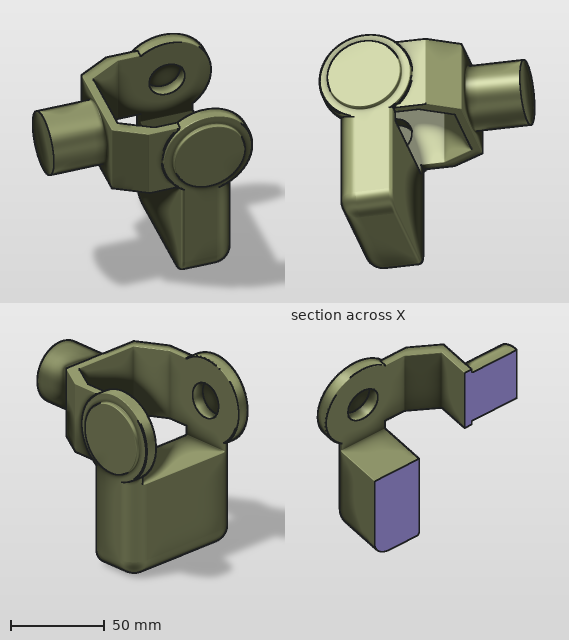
import cadquery as cq
import math

edge_fillet = 0.5
pick_margin = 0.01

disc_radius = 25.0
disc_inner_x = 30.0
disc_outer_x = 37.5
bore_radius = 10.0

cap_radius = 20.0
cap_outer_x = 40.0

plate_bottom_z = -80.0
plate_half_depth = 15.0
plate_corner_radius = 10.0
plate_back_fillet = 10.0
plate_front_fillet = 2.0
slot_floor_z = -disc_radius

yoke_half_height = 20.0
yoke_wall = 5.0
yoke_outer_x = disc_inner_x + yoke_wall
yoke_front_y = -50.0
yoke_front_half_width = 25.0
yoke_flank_angle = 60.0
yoke_flank_depth = (yoke_outer_x - yoke_front_half_width) * math.tan(math.radians(yoke_flank_angle))
yoke_flank_y = yoke_front_y + yoke_flank_depth

spigot_radius = 17.5
spigot_end_y = -80.0

fillet_mid = edge_fillet * math.sqrt(0.5)


def cylinder_x(radius, x_start, x_end):
    """Cylinder on the pivot axis between two X positions."""
    return cq.Workplane("YZ", origin=(x_start, 0, 0)).circle(radius).extrude(x_end - x_start)


def box_below_axis(half_width, half_depth, bottom_z):
    """Box centred on X and Y that reaches from bottom_z up to the pivot axis."""
    return cq.Workplane("XY", origin=(0, 0, bottom_z)).box(
        2 * half_width, 2 * half_depth, -bottom_z, centered=(True, True, False)
    )


def revolve_about_pivot(section):
    """Full turn of a section whose own X axis lies on the pivot axis."""
    return section.close().revolve(360, (0, 0, 0), (1, 0, 0))


def foot_arc(section, radius):
    """Continue a section at (0, radius + fillet) along a concave quarter fillet."""
    middle = (edge_fillet - fillet_mid, radius + edge_fillet - fillet_mid)
    return section.threePointArc(middle, (edge_fillet, radius))


def make_disc():
    """Pivot disc on the +X side, with both rims rounded."""
    return cylinder_x(disc_radius, disc_inner_x, disc_outer_x).edges().fillet(edge_fillet)


def make_disc_foot():
    """Concave fillet where the +X disc stands proud of the outer face of the yoke arm."""
    section = (
        cq.Workplane("XY", origin=(yoke_outer_x, 0, 0))
        .moveTo(0, disc_radius - edge_fillet)
        .lineTo(0, disc_radius + edge_fillet)
    )
    section = foot_arc(section, disc_radius).lineTo(edge_fillet, disc_radius - edge_fillet)
    arm_zone = cq.Workplane("XY", origin=(yoke_outer_x, 0, -yoke_half_height)).box(
        2 * yoke_wall, -2 * yoke_front_y, 2 * yoke_half_height - edge_fillet, centered=(True, True, False)
    )
    front_half = arm_zone.translate((0, yoke_front_y, 0))
    return revolve_about_pivot(section).intersect(front_half)


def make_cap():
    """Cap on the +X disc: rounded outer rim and a concave fillet at its foot."""
    cap_height = cap_outer_x - disc_outer_x
    rim_x = cap_height - edge_fillet
    rim_radius = cap_radius - edge_fillet
    section = cq.Workplane("XY", origin=(disc_outer_x, 0, 0)).lineTo(0, cap_radius + edge_fillet)
    section = (
        foot_arc(section, cap_radius)
        .lineTo(rim_x, cap_radius)
        .threePointArc((rim_x + fillet_mid, rim_radius + fillet_mid), (cap_height, rim_radius))
        .lineTo(cap_height, 0)
    )
    return revolve_about_pivot(section)


def make_plate():
    """Plate with a rounded outline and an open slot between its two lugs."""
    plate = box_below_axis(disc_outer_x, plate_half_depth, plate_bottom_z)
    plate = plate.edges("|Y and <Z").fillet(plate_corner_radius)
    plate = plate.faces("<Y").edges("not >Z").fillet(plate_front_fillet)
    plate = plate.faces(">Y").edges("not >Z").fillet(plate_back_fillet)

    slot = box_below_axis(disc_inner_x, 2 * plate_half_depth, slot_floor_z)
    plate = plate.cut(slot.edges("|Y and <Z").fillet(edge_fillet))

    slot_zone = cq.selectors.BoxSelector(
        (-disc_inner_x - pick_margin, -plate_half_depth - pick_margin, slot_floor_z - pick_margin),
        (disc_inner_x + pick_margin, plate_half_depth + pick_margin, -pick_margin),
    )
    slot_rims = slot_zone - cq.selectors.ParallelDirSelector(cq.Vector(0, 1, 0))
    return plate.edges(slot_rims).fillet(edge_fillet)


def yoke_prism(inset):
    """Prism of the yoke's plan outline, with the sides and front moved inwards by the inset."""
    side_x = yoke_outer_x - inset
    front_x = yoke_front_half_width - inset
    outline = [
        (-side_x, 0),
        (-side_x, yoke_flank_y + inset),
        (-front_x, yoke_front_y + inset),
        (front_x, yoke_front_y + inset),
        (side_x, yoke_flank_y + inset),
        (side_x, 0),
    ]
    plan = cq.Workplane("XY", origin=(0, 0, -yoke_half_height))
    return plan.polyline(outline).close().extrude(2 * yoke_half_height)


def make_yoke():
    """Bent strap whose ends run into the discs, rounded except for its lower outer arm edges."""
    yoke = yoke_prism(0).cut(yoke_prism(yoke_wall))
    rounded = cq.selectors.StringSyntaxSelector("not >Y")
    for x in (-yoke_outer_x, yoke_outer_x):
        lower_arm_edge = cq.selectors.BoxSelector(
            (x - pick_margin, yoke_flank_y, -yoke_half_height - pick_margin),
            (x + pick_margin, 0, -yoke_half_height + pick_margin),
        )
        rounded = rounded - lower_arm_edge
    return yoke.edges(rounded).fillet(edge_fillet)


def add_spigot(yoke):
    """Add the round spigot to the front of the yoke, with a concave fillet at its foot."""
    spigot = (
        cq.Workplane("XZ", origin=(0, yoke_front_y, 0))
        .circle(spigot_radius)
        .extrude(yoke_front_y - spigot_end_y)
    )
    reach = spigot_radius + pick_margin
    spigot_foot = cq.selectors.BoxSelector(
        (-reach, yoke_front_y - pick_margin, -reach),
        (reach, yoke_front_y + pick_margin, reach),
        boundingbox=True,
    )
    return yoke.union(spigot).edges(spigot_foot).fillet(edge_fillet)


def both_sides(shape):
    """A +X side feature together with its mirror image on the -X side."""
    return shape.union(shape.mirror("YZ"))


body = make_plate().union(add_spigot(make_yoke()))
body = body.union(both_sides(make_disc())).union(both_sides(make_disc_foot()))

body = body.cut(both_sides(cylinder_x(bore_radius, disc_inner_x, disc_outer_x)))
result = body.union(both_sides(make_cap()))